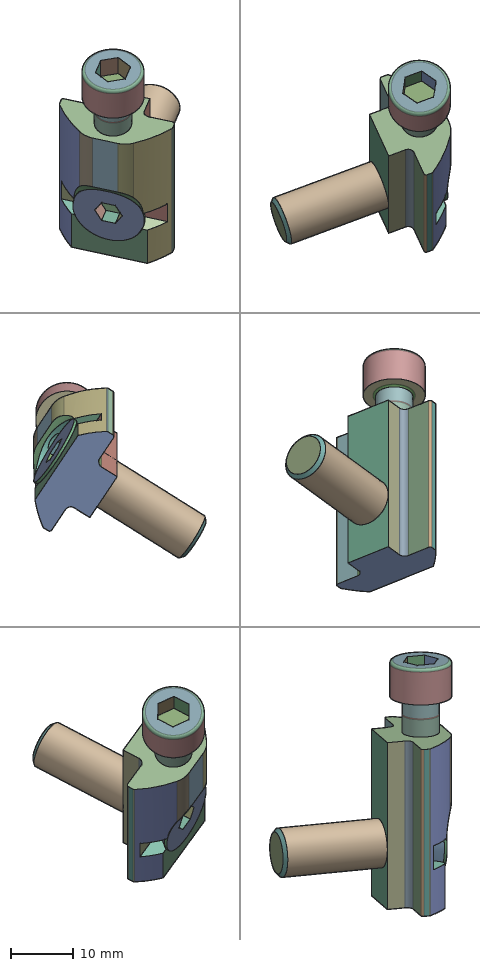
import cadquery as cq
import math


BLOCK_HEIGHT = 28
WING_HALF_WIDTH = 9.5
STEM_HALF_WIDTH = 4.05
STEM_BACK_Y = 7.0
STEM_FILLET = 1.05
WING_BACK_Y = 3.0
WING_CORNER_RADIUS = 0.4
WING_EDGE_Y = 1.6
FLANK_RADIUS = 20
NOSE_HALF_WIDTH = 2.1
NOSE_Y = -4.3
NOSE_RADIUS = 4
NOSE_ARC_ANGLE = 37

LOWER_FLAT_Y = -2
SCOOP_RADIUS = 9.8
SCOOP_START_Z = 11.35
SLOT_FLOOR_Y = 0.8
SLOT_BOTTOM_Z = 7.5
SLOT_TOP_Z = 11.5

BOLT_Z = 10
BOLT_DIAMETER = 8
BOLT_HEAD_DIAMETER = 12
BOLT_FACE_Y = -2.5
BOLT_CONE_START_Y = LOWER_FLAT_Y
BOLT_CONE_END_Y = 0.4
BOLT_END_Y = 24.45
BOLT_END_CHAMFER = 0.6
BOLT_SOCKET_WIDTH = 4
BOLT_SOCKET_DEPTH = 2.4

SCREW_TOP_Z = 40
SCREW_HEAD_DIAMETER = 10
SCREW_HEAD_HEIGHT = 6
SCREW_HEAD_FILLET = 0.5
SCREW_COLLAR_DIAMETER = 6.8
SCREW_SHANK_DIAMETER = 6
SCREW_COLLAR_HEIGHT = 0.25
SCREW_THREAD_DIAMETER = 6.05
SCREW_SHANK_END_Z = 31.1
SCREW_STEP_HEIGHT = 0.15
SCREW_END_Z = 16
SCREW_SOCKET_WIDTH = 5.0
SCREW_SOCKET_DEPTH = 3.6


def hexagon_diameter(width_across_flats):
    return width_across_flats / math.cos(math.radians(30))


def make_screw():
    """Socket head cap screw with a flared collar below its head."""
    head_radius = SCREW_HEAD_DIAMETER / 2
    shank_radius = SCREW_SHANK_DIAMETER / 2
    thread_radius = SCREW_THREAD_DIAMETER / 2
    collar_radius = SCREW_COLLAR_DIAMETER / 2
    head_bottom = SCREW_TOP_Z - SCREW_HEAD_HEIGHT
    collar_bottom = head_bottom - SCREW_COLLAR_HEIGHT
    flare_bend = 0.7
    profile = (
        cq.Workplane("XZ")
        .moveTo(0, SCREW_END_Z)
        .lineTo(thread_radius, SCREW_END_Z)
        .lineTo(thread_radius, SCREW_SHANK_END_Z - SCREW_STEP_HEIGHT)
        .lineTo(shank_radius, SCREW_SHANK_END_Z)
        .lineTo(shank_radius, collar_bottom)
        .threePointArc(
            (
                collar_radius - flare_bend * (collar_radius - shank_radius),
                collar_bottom + flare_bend * SCREW_COLLAR_HEIGHT,
            ),
            (collar_radius, head_bottom),
        )
        .lineTo(head_radius, head_bottom)
        .lineTo(head_radius, SCREW_TOP_Z)
        .lineTo(0, SCREW_TOP_Z)
        .close()
    )
    screw = profile.revolve(360, (0, 0), (0, 1)).faces(">Z").edges().fillet(SCREW_HEAD_FILLET)
    socket = (
        cq.Workplane("XY", origin=(0, 0, SCREW_TOP_Z))
        .transformed(rotate=(0, 0, 90))
        .polygon(6, hexagon_diameter(SCREW_SOCKET_WIDTH))
        .extrude(-SCREW_SOCKET_DEPTH)
    )
    return screw.cut(socket)


def make_bolt_blank():
    """Countersunk bolt without its hexagon socket."""
    head_radius = BOLT_HEAD_DIAMETER / 2
    shank_radius = BOLT_DIAMETER / 2
    profile = (
        cq.Workplane("XY", origin=(0, 0, BOLT_Z))
        .moveTo(0, BOLT_FACE_Y)
        .lineTo(head_radius, BOLT_FACE_Y)
        .lineTo(head_radius, BOLT_CONE_START_Y)
        .lineTo(shank_radius, BOLT_CONE_END_Y)
        .lineTo(shank_radius, BOLT_END_Y - BOLT_END_CHAMFER)
        .lineTo(shank_radius - BOLT_END_CHAMFER, BOLT_END_Y)
        .lineTo(0, BOLT_END_Y)
        .close()
    )
    return profile.revolve(360, (0, 0), (0, 1))


def cut_bolt_socket(blank):
    socket = (
        cq.Workplane("XZ", origin=(0, BOLT_FACE_Y, BOLT_Z))
        .polygon(6, hexagon_diameter(BOLT_SOCKET_WIDTH))
        .extrude(-BOLT_SOCKET_DEPTH)
    )
    return blank.cut(socket)


def make_block_half():
    """Half of the block on the +X side, before the front cuts."""
    angle = math.radians(NOSE_ARC_ANGLE)
    nose_end = (
        NOSE_HALF_WIDTH + NOSE_RADIUS * math.sin(angle),
        NOSE_Y + NOSE_RADIUS * (1 - math.cos(angle)),
    )
    nose_middle = (
        NOSE_HALF_WIDTH + NOSE_RADIUS * math.sin(angle / 2),
        NOSE_Y + NOSE_RADIUS * (1 - math.cos(angle / 2)),
    )
    half = (
        cq.Workplane("XY")
        .moveTo(0, STEM_BACK_Y)
        .lineTo(STEM_HALF_WIDTH, STEM_BACK_Y)
        .lineTo(STEM_HALF_WIDTH, WING_BACK_Y)
        .lineTo(WING_HALF_WIDTH, WING_BACK_Y)
        .lineTo(WING_HALF_WIDTH, WING_EDGE_Y)
        .radiusArc(nose_end, FLANK_RADIUS)
        .threePointArc(nose_middle, (NOSE_HALF_WIDTH, NOSE_Y))
        .lineTo(0, NOSE_Y)
        .close()
        .extrude(BLOCK_HEIGHT)
    )
    stem_corner = cq.selectors.NearestToPointSelector((STEM_HALF_WIDTH, WING_BACK_Y, BLOCK_HEIGHT / 2))
    wing_corner = cq.selectors.NearestToPointSelector((WING_HALF_WIDTH, WING_BACK_Y, BLOCK_HEIGHT / 2))
    wing_edge = cq.selectors.NearestToPointSelector((WING_HALF_WIDTH, WING_EDGE_Y, BLOCK_HEIGHT / 2))
    half = half.edges(stem_corner).fillet(STEM_FILLET)
    half = half.edges(wing_corner).fillet(WING_CORNER_RADIUS)
    return half.edges(wing_edge).fillet(WING_CORNER_RADIUS)


def make_front_cuts():
    """Scoop and bore for the bolt head, flat below it and slot across the flanks."""
    cut_front_y = 2 * NOSE_Y
    scoop_center_y = BOLT_FACE_Y - SCOOP_RADIUS
    scoop_end_angle = math.acos((NOSE_Y - scoop_center_y) / SCOOP_RADIUS)
    scoop_end_z = SCOOP_START_Z + SCOOP_RADIUS * math.sin(scoop_end_angle)
    scoop_middle = (
        scoop_center_y + SCOOP_RADIUS * math.cos(scoop_end_angle / 2),
        SCOOP_START_Z + SCOOP_RADIUS * math.sin(scoop_end_angle / 2),
    )
    scoop_and_flat = (
        cq.Workplane("YZ")
        .moveTo(cut_front_y, 0)
        .lineTo(LOWER_FLAT_Y, 0)
        .lineTo(LOWER_FLAT_Y, SLOT_BOTTOM_Z)
        .lineTo(BOLT_FACE_Y, SLOT_BOTTOM_Z)
        .lineTo(BOLT_FACE_Y, SCOOP_START_Z)
        .threePointArc(scoop_middle, (NOSE_Y, scoop_end_z))
        .lineTo(cut_front_y, scoop_end_z)
        .close()
        .extrude(WING_HALF_WIDTH, both=True)
    )
    slot = (
        cq.Workplane("YZ")
        .moveTo(cut_front_y, SLOT_BOTTOM_Z)
        .lineTo(SLOT_FLOOR_Y, SLOT_BOTTOM_Z)
        .lineTo(SLOT_FLOOR_Y, SLOT_TOP_Z)
        .lineTo(cut_front_y, SLOT_TOP_Z)
        .close()
        .extrude(WING_HALF_WIDTH, both=True)
    )
    head_bore = (
        cq.Workplane("XZ", origin=(0, BOLT_FACE_Y, BOLT_Z))
        .circle(BOLT_HEAD_DIAMETER / 2)
        .extrude(BOLT_FACE_Y - cut_front_y)
    )
    return scoop_and_flat.union(slot).union(head_bore)


def make_block(bolt_blank, screw):
    half = make_block_half()
    block = half.union(half.mirror("YZ")).clean()
    return block.cut(make_front_cuts()).cut(bolt_blank).cut(screw)


screw = make_screw()
bolt_blank = make_bolt_blank()
bolt = cut_bolt_socket(bolt_blank)
block = make_block(bolt_blank, screw)

result = cq.Compound.makeCompound([*block.solids().vals(), *bolt.solids().vals(), *screw.solids().vals()])